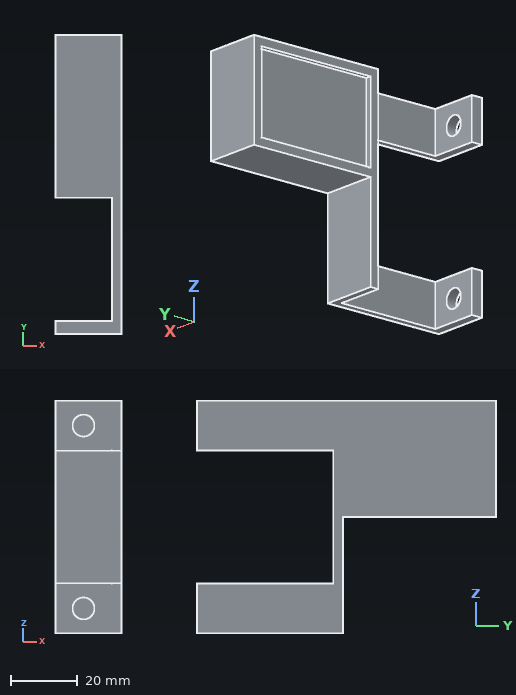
import cadquery as cq

width = 20.0
length = 90.0
height = 70.0

wall = 3.0
tab_thickness = 4.0

block_length = 49.0
block_height = 35.0
pocket_depth = 2.0

arm_height = 15.0
hole_diameter = 6.6

plate_front = length - block_length
arm_bottoms = (0.0, height - arm_height)
hole_x = (width - wall) / 2


def box(x_range, y_range, z_range):
    """Axis-aligned box spanning the given ranges."""
    size = [end - start for start, end in (x_range, y_range, z_range)]
    corner = (x_range[0], y_range[0], z_range[0])
    return cq.Workplane("XY").box(*size, centered=False).translate(corner)


def make_block():
    """Upper block with a shallow rectangular pocket in its -X face."""
    bottom = height - block_height
    block = box((0, width), (plate_front, length), (bottom, height))
    pocket = box(
        (0, pocket_depth),
        (plate_front + wall, length - wall),
        (bottom + wall, height - wall),
    )
    return block.cut(pocket)


def make_plate():
    """Full-height upright plate that carries the block and both arms."""
    return box((0, width), (plate_front, plate_front + wall), (0, height))


def make_arm(bottom):
    """L-shaped arm along the +X side, ending in a tab with a screw hole."""
    top = bottom + arm_height
    arm = box((width - wall, width), (0, plate_front), (bottom, top))
    tab = box((0, width), (0, tab_thickness), (bottom, top))
    hole = (
        cq.Workplane("XZ")
        .center(hole_x, bottom + arm_height / 2)
        .circle(hole_diameter / 2)
        .extrude(-tab_thickness)
    )
    return arm.union(tab).cut(hole)


result = make_plate().union(make_block())
for arm_bottom in arm_bottoms:
    result = result.union(make_arm(arm_bottom))